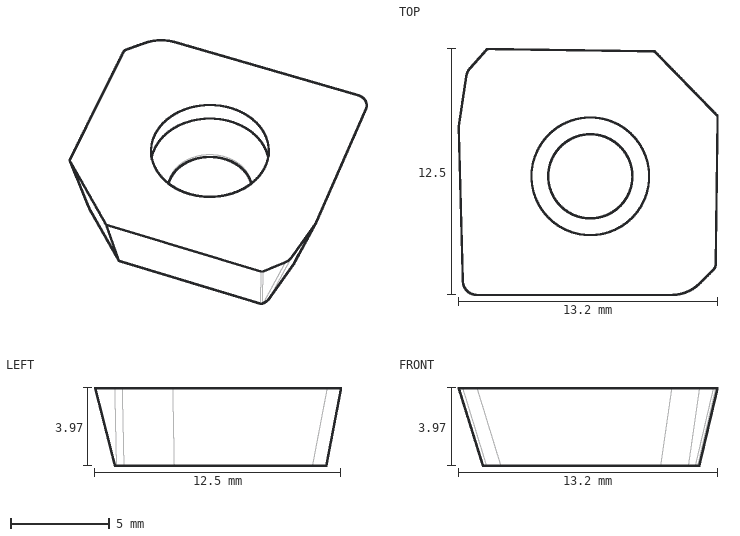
import cadquery as cq
import math

THICKNESS = 3.97

FRONT_CLEARANCE = 10.8
RIGHT_CLEARANCE = 13.2
FRONT_RIGHT_CLEARANCE = 13.3
BACK_RIGHT_CLEARANCE = RIGHT_CLEARANCE
BACK_CLEARANCE = 14.2
BACK_LEFT_CLEARANCE = 13.9
LEFT_CLEARANCE = 17.3

FRONT_Y = -6.05

CORNERS = [
    ((-6.48, FRONT_Y), 0.73, FRONT_CLEARANCE),
    ((4.98, FRONT_Y), 2.0, FRONT_RIGHT_CLEARANCE),
    ((6.39, -4.64), 0.4, RIGHT_CLEARANCE),
    ((6.49, 3.07), 0, BACK_RIGHT_CLEARANCE),
    ((3.27, 6.37), 0, BACK_CLEARANCE),
    ((-5.25, 6.49), 0.12, BACK_LEFT_CLEARANCE),
    ((-6.29, 5.32), 0.74, LEFT_CLEARANCE),
    ((-6.71, 2.53), 0, LEFT_CLEARANCE),
]

SEAT_RADIUS = 3.0
SEAT_DEPTH = 1.1
THROAT_RADIUS = 2.14
THROAT_DEPTH = 2.96
LAND_HEIGHT = 0.2
RELIEF_HALF_ANGLE = 60


def unit_direction(start, end):
    length = math.dist(start, end)
    return ((end[0] - start[0]) / length, (end[1] - start[1]) / length)


def cross(a, b):
    return a[0] * b[1] - a[1] * b[0]


def along(point, direction, distance):
    return (point[0] + direction[0] * distance, point[1] + direction[1] * distance)


def intersection(line_a, line_b):
    (point_a, direction_a), (point_b, direction_b) = line_a, line_b
    gap = (point_b[0] - point_a[0], point_b[1] - point_a[1])
    distance = cross(gap, direction_b) / cross(direction_a, direction_b)
    return along(point_a, direction_a, distance)


def flank_lines(depth):
    """Return (point, direction) of every flank's line at a depth below the top face."""
    lines = []
    for index, (corner, _, clearance) in enumerate(CORNERS):
        next_corner = CORNERS[(index + 1) % len(CORNERS)][0]
        direction = unit_direction(corner, next_corner)
        inward = (-direction[1], direction[0])
        inset = depth * math.tan(math.radians(clearance))
        lines.append((along(corner, inward, inset), direction))
    return lines


def rounded_corner(line_in, line_out, radius):
    """Return the start, middle and end of the arc rounding the corner of two lines."""
    corner = intersection(line_in, line_out)
    direction_in = line_in[1]
    direction_out = line_out[1]
    half_turn = math.asin(cross(direction_in, direction_out)) / 2
    tangent_length = radius * math.tan(half_turn)
    start = along(corner, direction_in, -tangent_length)
    end = along(corner, direction_out, tangent_length)
    to_center = unit_direction(direction_in, direction_out)
    middle = along(corner, to_center, radius / math.cos(half_turn) - radius)
    return start, middle, end


def outline(depth):
    """Return the closed outline of the plate at a depth below the top face."""
    lines = flank_lines(depth)
    radii = [radius for _, radius, _ in CORNERS]
    arcs = [rounded_corner(lines[i - 1], lines[i], radius) for i, radius in enumerate(radii)]

    last_end = arcs[-1][2]
    sketch = cq.Workplane("XY").workplane(offset=-depth).moveTo(*last_end)
    for (start, middle, end), radius in zip(arcs, radii):
        sketch = sketch.lineTo(*start)
        if radius > 0:
            sketch = sketch.threePointArc(middle, end)
    return sketch.close().val()


def make_plate():
    return cq.Workplane(cq.Solid.makeLoft([outline(THICKNESS), outline(0)], True))


def make_hole_cutter():
    """Revolve the hole profile; the bell arc runs tangent into the land."""
    narrowing = SEAT_RADIUS - THROAT_RADIUS
    bell_height = THROAT_DEPTH - SEAT_DEPTH
    bell_radius = (narrowing ** 2 + bell_height ** 2) / (2 * narrowing)
    half_sweep = math.asin(bell_height / bell_radius) / 2
    bell_middle = (
        THROAT_RADIUS + bell_radius * (1 - math.cos(half_sweep)),
        -THROAT_DEPTH + bell_radius * math.sin(half_sweep),
    )
    land_end_depth = THROAT_DEPTH + LAND_HEIGHT
    relief_height = THICKNESS - land_end_depth
    relief_radius = THROAT_RADIUS + relief_height * math.tan(math.radians(RELIEF_HALF_ANGLE))
    return (
        cq.Workplane("YZ")
        .lineTo(SEAT_RADIUS, 0)
        .lineTo(SEAT_RADIUS, -SEAT_DEPTH)
        .threePointArc(bell_middle, (THROAT_RADIUS, -THROAT_DEPTH))
        .lineTo(THROAT_RADIUS, -land_end_depth)
        .lineTo(relief_radius, -THICKNESS)
        .lineTo(0, -THICKNESS)
        .close()
        .revolve(360, (0, 0), (0, 1))
    )


result = make_plate().cut(make_hole_cutter())